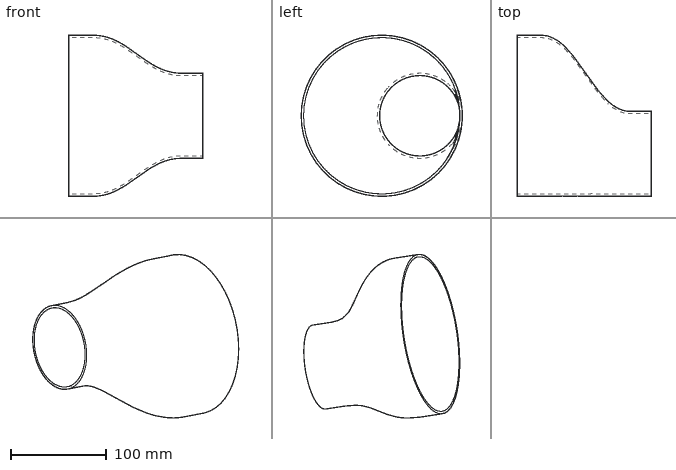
import cadquery as cq

LENGTH = 140.0
LARGE_DIAMETER = 168.3
LARGE_BORE = 163.0
SMALL_DIAMETER = 88.9
WALL_THICKNESS = (LARGE_DIAMETER - LARGE_BORE) / 2
SMALL_BORE = SMALL_DIAMETER - 2 * WALL_THICKNESS

LARGE_COLLAR = 25.0
SMALL_COLLAR = 21.9
TRANSITION = LENGTH - LARGE_COLLAR - SMALL_COLLAR

HANDLE = 38.7
INTERVALS = 16

FLAT_SIDE_Y = -LARGE_DIAMETER / 2


def transition_station(t):
    """Distance along the transition and fraction of the size change at curve parameter t."""
    u = 1 - t
    distance = 3 * u**2 * t * HANDLE + 3 * u * t**2 * (TRANSITION - HANDLE) + t**3 * TRANSITION
    fraction = t**2 * (3 - 2 * t)
    return distance, fraction


def circle_at(x, center_y, radius):
    """Circular wire in the plane perpendicular to X."""
    return cq.Wire.makeCircle(radius, cq.Vector(x, center_y, 0), cq.Vector(1, 0, 0))


def reducer_solid(large_diameter, small_diameter):
    """Solid eccentric reducer: large collar, S-curved transition and small collar."""
    small_center_y = FLAT_SIDE_Y + SMALL_DIAMETER / 2
    sections = []
    for index in range(INTERVALS + 1):
        distance, fraction = transition_station(index / INTERVALS)
        diameter = large_diameter + (small_diameter - large_diameter) * fraction
        sections.append(circle_at(LARGE_COLLAR + distance, small_center_y * fraction, diameter / 2))
    transition = cq.Workplane(cq.Solid.makeLoft(sections))

    large_collar = cq.Workplane("YZ").circle(large_diameter / 2).extrude(LARGE_COLLAR)
    small_collar = (
        cq.Workplane("YZ", origin=(LENGTH - SMALL_COLLAR, small_center_y, 0))
        .circle(small_diameter / 2)
        .extrude(SMALL_COLLAR)
    )
    return large_collar.union(transition).union(small_collar)


outside = reducer_solid(LARGE_DIAMETER, SMALL_DIAMETER)
bore = reducer_solid(LARGE_BORE, SMALL_BORE)
result = outside.cut(bore)